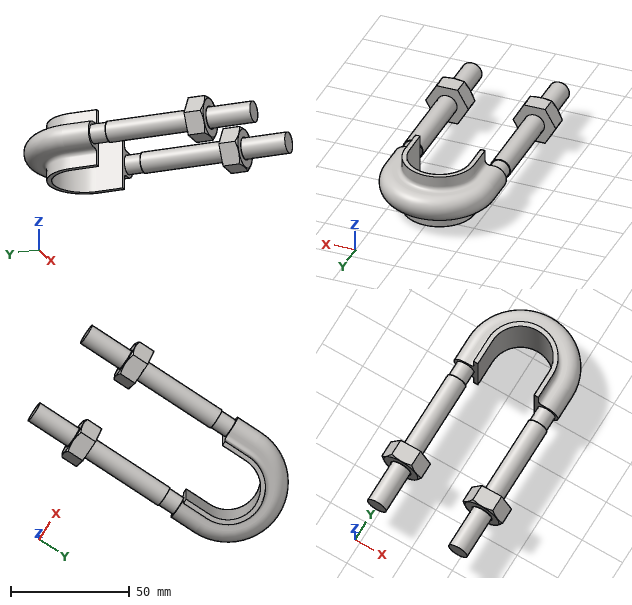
import cadquery as cq
import math

overall_length = 110.7
leg_spacing = 40.0

neck_diameter = 8.4
thread_diameter = 9.2
thread_start_y = -19.2

band_height = 25.0
band_inner_radius = 13.8
band_outer_radius = 16.0
jacket_radius = 5.6
jacket_fillet = 2.0
sleeve_leg_length = 12.0

nut_across_flats = 16.9
nut_thickness = 8.2
nut_outer_face_y = -65.3
nut_face_diameter = 16.7
nut_chamfer_angle = 30.0
countersink_diameter = 10.0
countersink_angle = 90.0

bend_radius = leg_spacing / 2
bolt_end_y = bend_radius + jacket_radius - overall_length
leg_positions = (-bend_radius, bend_radius)


def sweep_u(draw_profile, leg_length):
    """Sweep an XZ profile on the +X side around the half bend and along both straight legs."""
    arch = draw_profile().revolve(180, (0, 0, 0), (0, 1, 0))
    right_leg = draw_profile().extrude(leg_length)
    left_leg = right_leg.mirror("YZ")
    return arch.union(right_leg).union(left_leg)


def sleeve_profile():
    """Band section blended by fillets into a round-ended jacket section."""
    half_height = band_height / 2
    fillet_end_z = jacket_radius + jacket_fillet
    fillet_end_x = band_outer_radius + jacket_fillet
    fillet_mid_offset = jacket_fillet * (1 - math.sqrt(0.5))
    fillet_mid_x = band_outer_radius + fillet_mid_offset
    fillet_mid_z = jacket_radius + fillet_mid_offset
    return (
        cq.Workplane("XZ")
        .moveTo(band_inner_radius, -half_height)
        .lineTo(band_outer_radius, -half_height)
        .lineTo(band_outer_radius, -fillet_end_z)
        .threePointArc((fillet_mid_x, -fillet_mid_z), (fillet_end_x, -jacket_radius))
        .lineTo(bend_radius, -jacket_radius)
        .threePointArc((bend_radius + jacket_radius, 0), (bend_radius, jacket_radius))
        .lineTo(fillet_end_x, jacket_radius)
        .threePointArc((fillet_mid_x, fillet_mid_z), (band_outer_radius, fillet_end_z))
        .lineTo(band_outer_radius, half_height)
        .lineTo(band_inner_radius, half_height)
        .close()
    )


def rod_profile():
    """Round section of the rod, centred on the +X leg."""
    return cq.Workplane("XZ").pushPoints([(bend_radius, 0)]).circle(neck_diameter / 2)


def make_bent_rod():
    """Plain part of the U-bolt, from one thread to the other."""
    return sweep_u(rod_profile, -thread_start_y)


def make_u_bolt(bent_rod):
    thread_length = thread_start_y - bolt_end_y
    threads = (
        cq.Workplane("XZ", origin=(0, thread_start_y, 0))
        .pushPoints([(x, 0) for x in leg_positions])
        .circle(thread_diameter / 2)
        .extrude(thread_length)
    )
    return bent_rod.union(threads)


def make_sleeve(bent_rod):
    return sweep_u(sleeve_profile, sleeve_leg_length).cut(bent_rod)


def make_nut(x):
    """Hexagon nut, chamfered and countersunk on its -Y face."""
    across_corners = nut_across_flats / math.cos(math.radians(30))
    corner_radius = across_corners / 2
    face_radius = nut_face_diameter / 2
    chamfer_depth = (corner_radius - face_radius) * math.tan(math.radians(nut_chamfer_angle))
    inner_face_y = nut_outer_face_y + nut_thickness

    hexagon = (
        cq.Workplane("XZ", origin=(0, inner_face_y, 0))
        .polygon(6, across_corners)
        .extrude(nut_thickness)
    )
    chamfer_envelope = (
        cq.Workplane("XY")
        .moveTo(0, nut_outer_face_y)
        .lineTo(face_radius, nut_outer_face_y)
        .lineTo(corner_radius, nut_outer_face_y + chamfer_depth)
        .lineTo(corner_radius, inner_face_y)
        .lineTo(0, inner_face_y)
        .close()
        .revolve(360, (0, 0, 0), (0, 1, 0))
    )
    nut = (
        hexagon.intersect(chamfer_envelope)
        .faces("<Y")
        .workplane(origin=(0, nut_outer_face_y, 0))
        .cskHole(thread_diameter, countersink_diameter, countersink_angle)
    )
    return nut.translate((x, 0, 0))


bent_rod = make_bent_rod()
u_bolt = make_u_bolt(bent_rod)
sleeve = make_sleeve(bent_rod)
nuts = [make_nut(x) for x in leg_positions]

result = cq.Compound.makeCompound([u_bolt.val(), sleeve.val(), *[nut.val() for nut in nuts]])